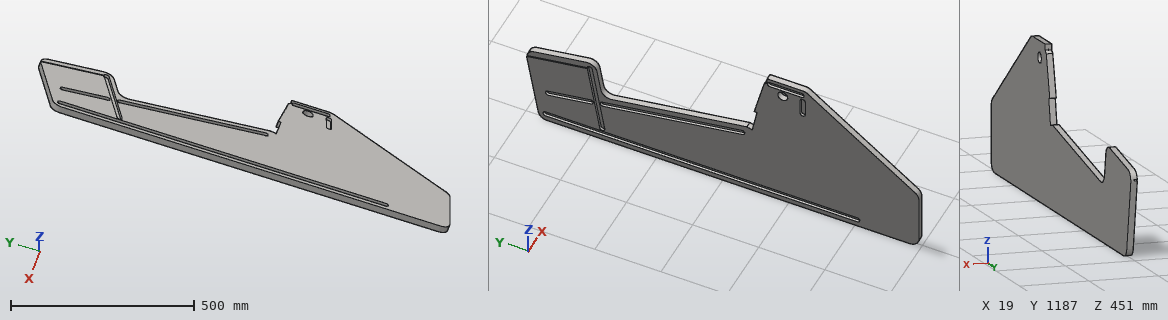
import cadquery as cq
import math

thickness = 19.0
length = 1187.0
height = 451.0
corner_radius = 28.0
tall_end_height = 196.0
top_edge_start = 343.0

tilt = math.radians(10)
tab_width = 216.0
tab_height = 248.0
arm_height = 126.0
arm_end = 660.0
tab_foot = (
    length
    - corner_radius * (1 - math.cos(tilt))
    - (tab_height - corner_radius) * math.sin(tilt)
)

step_foot = (505.0, 234.0)
lower_step = (490.0, 306.0)
upper_step = (499.0, 307.0)
shoulder = (469.0, 426.0)
top_notch = (459.0, 435.0)

slot_width = 15.0
slot_depth = 8.0
bottom_slot_height = 24.0
bottom_slot_ends = (179.0, 1137.0)
top_slot_height = 432.0
top_slot_ends = (348.0, 458.0)
upright_slot_place = 351.0
upright_slot_ends = (354.0, 418.0)
tilted_slot_height = 101.0
arm_slot_ends = (205.0, 648.0)
tab_slot_ends = (37.0, 183.0)
cross_slot_place = 195.0
cross_slot_ends = (1.0, 234.0)
groove_width = 4.0
groove_height = 227.0

hole_center = (412.0, 404.0)
hole_diameter = 30.0


def tilted(along, up):
    """Point at a distance along and above the tilted base line, as (y, z)."""
    y = tab_foot - along * math.cos(tilt) + up * math.sin(tilt)
    z = along * math.sin(tilt) + up * math.cos(tilt)
    return (y, z)


def make_plate():
    rounded_corners = [
        (0, 0),
        (0, tall_end_height),
        (top_edge_start, height),
        tilted(tab_width, arm_height),
        tilted(tab_width, tab_height),
        tilted(0, tab_height),
        (tab_foot, 0),
    ]
    upright_edge = [
        (top_notch[0], height),
        top_notch,
        shoulder,
        upper_step,
        lower_step,
        step_foot,
        tilted(arm_end, arm_height),
    ]
    outline = rounded_corners[:3] + upright_edge + rounded_corners[3:]
    plate = cq.Workplane("YZ").polyline(outline).close().extrude(thickness)
    for y, z in rounded_corners:
        corner = cq.selectors.BoxSelector(
            (-12, y - 1.0, z - 1.0), (thickness + 12, y + 1.0, z + 1.0)
        )
        plate = plate.edges("|X").edges(corner).fillet(corner_radius)
    return plate


def slot(start, end, width=slot_width):
    """Round-ended slot whose tips are at the start and end points."""
    dy = end[0] - start[0]
    dz = end[1] - start[1]
    middle = ((start[0] + end[0]) / 2, (start[1] + end[1]) / 2)
    angle = math.degrees(math.atan2(dz, dy))
    sketch = cq.Workplane("YZ").center(*middle)
    return sketch.slot2D(math.hypot(dy, dz), width, angle).extrude(slot_depth)


def cut_slots(plate):
    level_slots = [(bottom_slot_ends, bottom_slot_height), (top_slot_ends, top_slot_height)]
    for ends, z in level_slots:
        plate = plate.cut(slot((ends[0], z), (ends[1], z)))

    low, high = upright_slot_ends
    plate = plate.cut(slot((upright_slot_place, low), (upright_slot_place, high)))

    for start, end in (arm_slot_ends, tab_slot_ends):
        plate = plate.cut(slot(tilted(start, tilted_slot_height), tilted(end, tilted_slot_height)))

    low, high = cross_slot_ends
    plate = plate.cut(slot(tilted(cross_slot_place, low), tilted(cross_slot_place, high)))

    groove_start = tilted(-groove_width, groove_height)
    groove_end = tilted(cross_slot_place, groove_height)
    return plate.cut(slot(groove_start, groove_end, groove_width))


def cut_hole(plate):
    hole = cq.Workplane("YZ").center(*hole_center).circle(hole_diameter / 2).extrude(thickness)
    return plate.cut(hole)


plate = cut_hole(cut_slots(make_plate()))
result = plate.translate((-thickness / 2, -length / 2, 0))